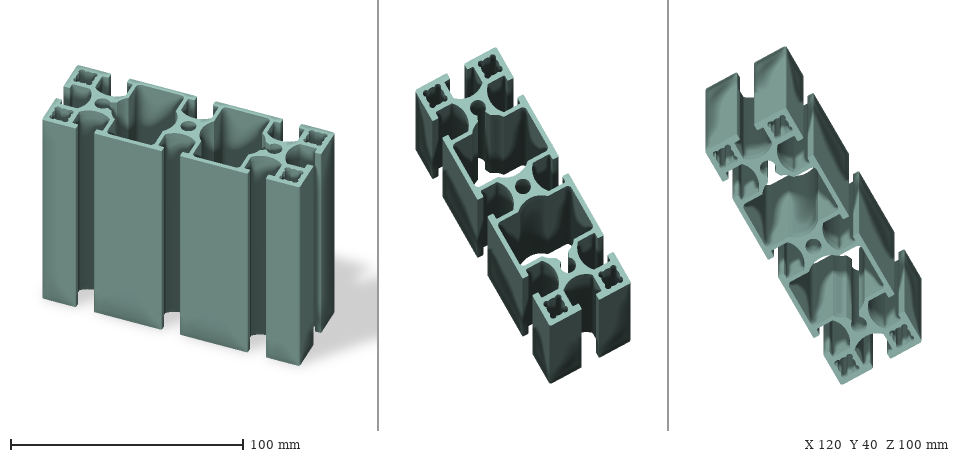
import cadquery as cq
import math

LENGTH_X = 120.0
MODULE = LENGTH_X / 3
HEIGHT_Z = 100.0
CORNER_RADIUS = 1.0
HALF_X = LENGTH_X / 2
HALF_Y = MODULE / 2

SLOT_OPENING = 8.4
SLOT_WIDTH = 14.3
LIP_THICKNESS = 3.0
LIP_EDGE_RADIUS = 0.5
UNDERCUT_RADIUS = 0.5
SLOT_WALL_DEPTH = 11.2
SLOT_DEPTH = 14.0
CORE_HALF = HALF_Y - SLOT_DEPTH
FLOOR_RISE = SLOT_DEPTH - SLOT_WALL_DEPTH
FLOOR_RADIUS = ((SLOT_WIDTH / 2) ** 2 + FLOOR_RISE**2) / (2 * FLOOR_RISE)

CORE_DIAMETER = 6.8
CORE_RADIUS = CORE_DIAMETER / 2

WEB_THICKNESS = 1.8
CAVITY_SKIN = 2.0
CAVITY_CORNER_RADIUS = 1.9
CAVITY_HALF_X = MODULE / 2 - SLOT_WIDTH / 2 - WEB_THICKNESS
CAVITY_HALF_Y = HALF_Y - CAVITY_SKIN

THROAT_HALF_GAP = 1.9
TIP_CENTRE_X = 3.0
TIP_RADIUS = 0.6
NOSE_CORNER_X = 5.5
NOSE_CORNER_Y = 3.1
FLARE_WALL_Y = 7.8
FLARE_RADIUS = 8.4

CHANNEL_INSET = 6.5
CHANNEL_SIDE = 7.3
LOBE_OFFSET = 2.9
LOBE_RADIUS = 1.5
GROOVE_OFFSET = 0.8
GROOVE_RADIUS = 3.2


def prism(sketch):
    return sketch.extrude(HEIGHT_Z)


def round_bar(x, y, radius):
    return prism(cq.Workplane("XY").center(x, y).circle(radius))


def slot(face_distance, angle):
    """T-slot cutting inward from a face, turned about Z to face that side."""
    lip_y = face_distance - LIP_THICKNESS
    wall_y = face_distance - SLOT_WALL_DEPTH
    floor_y = face_distance - SLOT_DEPTH
    half_width = SLOT_WIDTH / 2
    pocket = prism(
        cq.Workplane("XY")
        .moveTo(-half_width, lip_y)
        .lineTo(-half_width, wall_y)
        .threePointArc((0, floor_y), (half_width, wall_y))
        .lineTo(half_width, lip_y)
        .close()
    )
    pocket = pocket.edges("|Z and >Y").fillet(UNDERCUT_RADIUS)
    half_opening = SLOT_OPENING / 2
    half_flare = half_opening + LIP_EDGE_RADIUS
    mouth = prism(
        cq.Workplane("XY")
        .moveTo(-half_flare, face_distance)
        .radiusArc((-half_opening, face_distance - LIP_EDGE_RADIUS), LIP_EDGE_RADIUS)
        .lineTo(-half_opening, lip_y + LIP_EDGE_RADIUS)
        .radiusArc((-half_flare, lip_y), LIP_EDGE_RADIUS)
        .lineTo(half_flare, lip_y)
        .radiusArc((half_opening, lip_y + LIP_EDGE_RADIUS), LIP_EDGE_RADIUS)
        .lineTo(half_opening, face_distance - LIP_EDGE_RADIUS)
        .radiusArc((half_flare, face_distance), LIP_EDGE_RADIUS)
        .close()
    )
    return pocket.union(mouth).rotate((0, 0, 0), (0, 0, 1), angle)


def throat():
    """Passage from a core hole toward +X, pinched between two round tips and then flaring."""
    wall_x = MODULE / 2 - CAVITY_HALF_X
    tip_y = THROAT_HALF_GAP + TIP_RADIUS
    reach_x = NOSE_CORNER_X - TIP_CENTRE_X
    reach_y = NOSE_CORNER_Y - tip_y
    tangent_turn = math.acos(TIP_RADIUS / math.hypot(reach_x, reach_y))
    tangent_angle = math.atan2(reach_y, reach_x) - tangent_turn
    tangent_x = TIP_CENTRE_X + TIP_RADIUS * math.cos(tangent_angle)
    tangent_y = tip_y + TIP_RADIUS * math.sin(tangent_angle)
    upper_half = prism(
        cq.Workplane("XY")
        .moveTo(0, 0)
        .lineTo(TIP_CENTRE_X - TIP_RADIUS, tip_y)
        .radiusArc((tangent_x, tangent_y), -TIP_RADIUS)
        .lineTo(NOSE_CORNER_X, NOSE_CORNER_Y)
        .radiusArc((wall_x, FLARE_WALL_Y), FLARE_RADIUS)
        .lineTo(wall_x, 0)
        .close()
    )
    return upper_half.union(upper_half.mirror("XZ"))


def left_cavity():
    """Cavity left of the centre module, bulging toward the centre core hole."""
    box = prism(cq.Workplane("XY").rect(2 * CAVITY_HALF_X, 2 * CAVITY_HALF_Y))
    box = box.edges("|Z").fillet(CAVITY_CORNER_RADIUS).translate((-MODULE / 2, 0, 0))
    bulge = round_bar(-CORE_HALF - FLOOR_RADIUS, 0, FLOOR_RADIUS)
    return box.union(bulge).union(throat().translate((-MODULE, 0, 0)))


def corner_channel(x, y):
    """Square channel with a round lobe in each corner and a shallow groove in each side."""
    channel = prism(cq.Workplane("XY").rect(CHANNEL_SIDE, CHANNEL_SIDE))
    for side_x, side_y in ((1, 0), (0, 1), (-1, 0), (0, -1)):
        channel = channel.union(round_bar(side_x * GROOVE_OFFSET, side_y * GROOVE_OFFSET, GROOVE_RADIUS))
    for lobe_x in (-LOBE_OFFSET, LOBE_OFFSET):
        for lobe_y in (-LOBE_OFFSET, LOBE_OFFSET):
            channel = channel.union(round_bar(lobe_x, lobe_y, LOBE_RADIUS))
    return channel.translate((x, y, 0))


result = prism(cq.Workplane("XY").rect(LENGTH_X, MODULE)).edges("|Z").fillet(CORNER_RADIUS)

for module_x in (-MODULE, 0, MODULE):
    for angle in (0, 180):
        result = result.cut(slot(HALF_Y, angle).translate((module_x, 0, 0)))
for angle in (90, -90):
    result = result.cut(slot(HALF_X, angle))

for module_x in (-MODULE, 0, MODULE):
    result = result.cut(round_bar(module_x, 0, CORE_RADIUS))

cavity = left_cavity()
result = result.cut(cavity).cut(cavity.mirror("YZ"))

channel_x = HALF_X - CHANNEL_INSET
channel_y = HALF_Y - CHANNEL_INSET
for x in (-channel_x, channel_x):
    for y in (-channel_y, channel_y):
        result = result.cut(corner_channel(x, y))